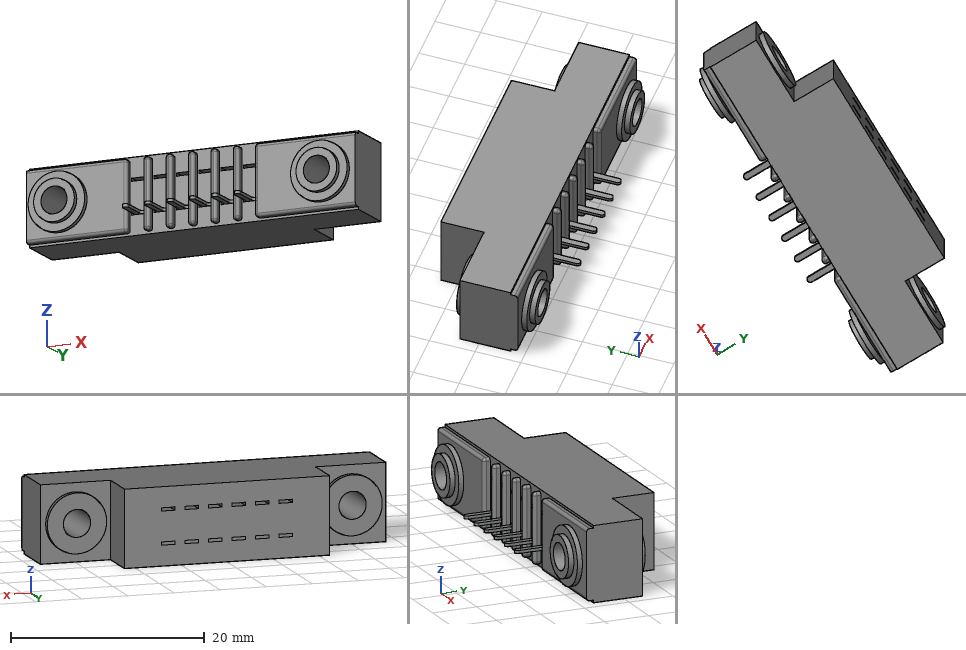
import cadquery as cq


HOUSING_LENGTH = 37.47
HOUSING_HEIGHT = 8.4
NOSE_LENGTH = 22.25
NOSE_DEPTH = 4.72
BODY_DEPTH = 10.25
RAISED_HEIGHT = 0.8
RAISED_INSET = 0.28
RIB_WIDTH = 0.75
EDGE_RADIUS = 0.35

CONTACT_COUNT = 6
CONTACT_PITCH = 2.55
ROW_OFFSET = 1.8
SLOT_WIDTH = 1.45
CONTACT_THICKNESS = 0.35
TAIL_WIDTH = 0.67
TOTAL_DEPTH = 13.65

EYELET_SPACING = 29.9
BORE_DIAMETER = 2.95
TUBE_DIAMETER = 3.55
FLANGE_DIAMETER = 6.45
COLLAR_DIAMETER = 4.65
FLANGE_THICKNESS = 0.55
COLLAR_LENGTH = 0.6
FLANGE_GAP = 0.22

CONTACT_XS = [(i - (CONTACT_COUNT - 1) / 2) * CONTACT_PITCH for i in range(CONTACT_COUNT)]
RIB_XS = [(x + next_x) / 2 for x, next_x in zip(CONTACT_XS, CONTACT_XS[1:])]
EYELET_XS = [-EYELET_SPACING / 2, EYELET_SPACING / 2]
PAD_DEPTH = BODY_DEPTH + RAISED_HEIGHT
RAISED_SPAN = HOUSING_HEIGHT - 2 * RAISED_INSET
PAD_INNER_X = CONTACT_COUNT * CONTACT_PITCH / 2 - RIB_WIDTH / 2


def block(x_min, x_max, depth_start, depth_end, height):
    """Box centred on Z, reaching from one depth behind the mating face to another."""
    return (
        cq.Workplane("XY")
        .box(x_max - x_min, depth_end - depth_start, height)
        .translate(((x_min + x_max) / 2, -(depth_start + depth_end) / 2, 0))
    )


def cylinder(diameter, depth_start, depth_end):
    """Cylinder along Y, reaching from one depth behind the mating face to another."""
    return (
        cq.Workplane("XZ", origin=(0, -depth_start, 0))
        .circle(diameter / 2)
        .extrude(depth_end - depth_start)
    )


def make_rib(x):
    """Divider between two contacts, rounded on every edge but those at its foot."""
    rib = block(x - RIB_WIDTH / 2, x + RIB_WIDTH / 2, BODY_DEPTH, PAD_DEPTH, RAISED_SPAN)
    return rib.edges("|Y or <Y").fillet(EDGE_RADIUS)


def make_left_pad():
    """Raised pad under an eyelet, rounded except at its foot and its flush outer end."""
    pad = block(-HOUSING_LENGTH / 2, -PAD_INNER_X, BODY_DEPTH, PAD_DEPTH, RAISED_SPAN)
    rounded_edges = "(<Y and |X) or (>X and |Y) or (<Y and >X)"
    return pad.edges(rounded_edges).fillet(EDGE_RADIUS)


def make_slots():
    """Two rows of contact slots, cut right through the housing."""
    slot = block(-SLOT_WIDTH / 2, SLOT_WIDTH / 2, 0, BODY_DEPTH, CONTACT_THICKNESS)
    return [slot.translate((x, 0, z)) for z in (-ROW_OFFSET, ROW_OFFSET) for x in CONTACT_XS]


def make_housing():
    half_length = HOUSING_LENGTH / 2
    housing = block(-half_length, half_length, NOSE_DEPTH, BODY_DEPTH, HOUSING_HEIGHT)
    housing = housing.union(block(-NOSE_LENGTH / 2, NOSE_LENGTH / 2, 0, NOSE_DEPTH, HOUSING_HEIGHT))
    left_pad = make_left_pad()
    housing = housing.union(left_pad).union(left_pad.mirror("YZ"))
    for x in RIB_XS:
        housing = housing.union(make_rib(x))
    for slot in make_slots():
        housing = housing.cut(slot)
    for x in EYELET_XS:
        housing = housing.cut(cylinder(TUBE_DIAMETER, NOSE_DEPTH, PAD_DEPTH).translate((x, 0, 0)))
    return housing


def make_contact(x):
    """Flat contact that fills its slot and narrows, past two concave arcs, to a round-tipped tail."""
    half_slot = SLOT_WIDTH / 2
    half_tail = TAIL_WIDTH / 2
    flare_radius = half_slot - half_tail
    flare_end = -BODY_DEPTH - flare_radius
    tip_start = -TOTAL_DEPTH + half_tail
    return (
        cq.Workplane("XY", origin=(x, 0, -ROW_OFFSET - CONTACT_THICKNESS / 2))
        .moveTo(-half_slot, 0)
        .lineTo(-half_slot, -BODY_DEPTH)
        .radiusArc((-half_tail, flare_end), flare_radius)
        .lineTo(-half_tail, tip_start)
        .threePointArc((0, -TOTAL_DEPTH), (half_tail, tip_start))
        .lineTo(half_tail, flare_end)
        .radiusArc((half_slot, -BODY_DEPTH), flare_radius)
        .lineTo(half_slot, 0)
        .close()
        .extrude(CONTACT_THICKNESS)
    )


def make_eyelet(x):
    """Tube through the housing with a flange at each end and a collar at the tail side."""
    flange_start = PAD_DEPTH + FLANGE_GAP
    flange_end = flange_start + FLANGE_THICKNESS
    collar_end = flange_end + COLLAR_LENGTH
    eyelet_start = NOSE_DEPTH - FLANGE_THICKNESS
    return (
        cylinder(TUBE_DIAMETER, eyelet_start, collar_end)
        .union(cylinder(FLANGE_DIAMETER, eyelet_start, NOSE_DEPTH))
        .union(cylinder(FLANGE_DIAMETER, flange_start, flange_end))
        .union(cylinder(COLLAR_DIAMETER, flange_end, collar_end))
        .cut(cylinder(BORE_DIAMETER, eyelet_start, collar_end))
        .translate((x, 0, 0))
    )


housing = make_housing()
contacts = [make_contact(x) for x in CONTACT_XS]
eyelets = [make_eyelet(x) for x in EYELET_XS]

result = cq.Compound.makeCompound([
    housing.val(),
    *[contact.val() for contact in contacts],
    *[eyelet.val() for eyelet in eyelets],
])